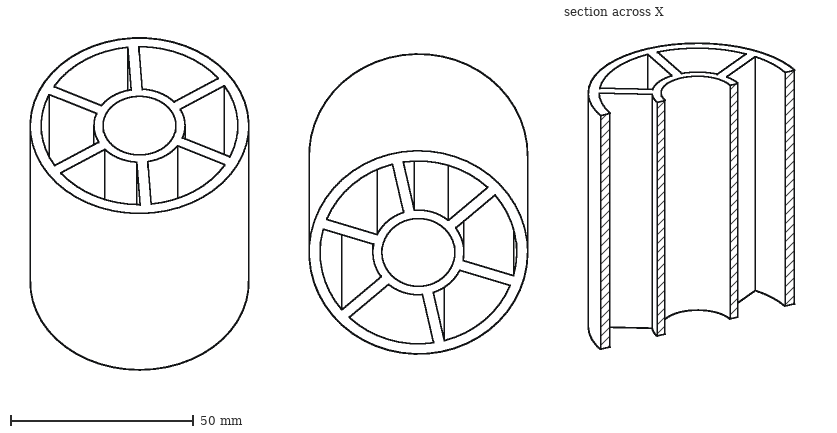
import cadquery as cq

height = 72.0
outer_diameter = 60.0
wall_thickness = 3.0
bore_diameter = 20.0
hub_diameter = 25.0
spoke_thickness = 3.0
spoke_count = 6

rim_inner_diameter = outer_diameter - 2 * wall_thickness
spoke_start = (bore_diameter + hub_diameter) / 4
spoke_end = (rim_inner_diameter + outer_diameter) / 4


def tube(outside, inside):
    """Full-height tube around the Z axis, standing on Z = 0."""
    return cq.Workplane("XY").circle(outside / 2).circle(inside / 2).extrude(height)


def spoke(angle):
    """Full-height radial web between hub and rim, at an angle from +X."""
    web = (
        cq.Workplane("XY")
        .center((spoke_start + spoke_end) / 2, 0)
        .rect(spoke_end - spoke_start, spoke_thickness)
        .extrude(height)
    )
    return web.rotate((0, 0, 0), (0, 0, 1), angle)


rim = tube(outer_diameter, rim_inner_diameter)
hub = tube(hub_diameter, bore_diameter)

result = rim.union(hub)
for index in range(spoke_count):
    result = result.union(spoke(index * 360 / spoke_count))